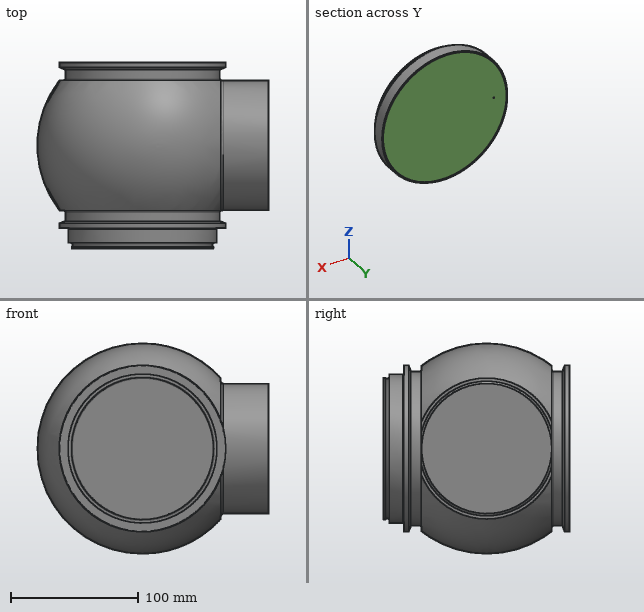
import cadquery as cq

sphere_radius = 82.5
side_flat = 51.1
port_flat = 61.3

collar_radius = 60.5
flange_radius = 65.3
flange_face = 65.0
flange_rim = 3.8
flange_bevel = 1.8
root_fillet = 1.0

plug_radius = 58.4
plug_end = 76.4
lip_neck_radius = 55.0
neck_fillet = 1.5
lip_radius = 55.7
lip_width = 1.6
lip_fillet = 0.5
front_end = 80.9
plug_relief_radius = 57.5
plug_relief_width = 0.7

port_radius = 51.0
overall_length = 181.4
port_end = overall_length - sphere_radius
port_root = 1.8


def front_disc(radius, start, end):
    """Cylinder on the Y axis between two distances in front of the centre."""
    return cq.Workplane("XZ", origin=(0, -start, 0)).circle(radius).extrude(end - start)


def make_body():
    """Sphere cut flat at the front, the back and the port side."""
    sphere = cq.Workplane("XY").sphere(sphere_radius)
    length = sphere_radius + port_flat
    keep = cq.Workplane("XY").box(length, 2 * side_flat, 2 * sphere_radius)
    return sphere.intersect(keep.translate(((port_flat - sphere_radius) / 2, 0, 0)))


def make_collar():
    """Front collar: filleted root, neck and bevelled flange, turned about Y."""
    rim_start = flange_face - flange_rim
    profile = (
        cq.Workplane("XY")
        .moveTo(0, 0)
        .lineTo(collar_radius + root_fillet, 0)
        .lineTo(collar_radius + root_fillet, -side_flat)
        .radiusArc((collar_radius, -side_flat - root_fillet), -root_fillet)
        .lineTo(collar_radius, flange_bevel - rim_start)
        .lineTo(flange_radius, -rim_start)
        .lineTo(flange_radius, -flange_face)
        .lineTo(0, -flange_face)
        .close()
    )
    return profile.revolve(360, (0, 0, 0), (0, 1, 0))


def make_plug():
    """Stepped plug with a relief at the flange and a rounded lip at its end."""
    relief_end = flange_face + plug_relief_width
    lip_start = front_end - lip_width
    relief = front_disc(plug_relief_radius, flange_face, relief_end)
    main = front_disc(plug_radius, relief_end, plug_end)
    neck = (
        cq.Workplane("XY")
        .moveTo(0, -plug_end)
        .lineTo(lip_neck_radius + neck_fillet, -plug_end)
        .radiusArc((lip_neck_radius, -plug_end - neck_fillet), -neck_fillet)
        .lineTo(lip_neck_radius, -lip_start)
        .lineTo(0, -lip_start)
        .close()
        .revolve(360, (0, 0, 0), (0, 1, 0))
    )
    lip = front_disc(lip_radius, lip_start, front_end).edges().fillet(lip_fillet)
    return relief.union(main).union(neck).union(lip)


def make_port():
    """Plain cylindrical port with a filleted root, turned about X."""
    profile = (
        cq.Workplane("XY")
        .moveTo(0, 0)
        .lineTo(port_flat, 0)
        .lineTo(port_flat, port_radius + port_root)
        .radiusArc((port_flat + port_root, port_radius), -port_root)
        .lineTo(port_end, port_radius)
        .lineTo(port_end, 0)
        .close()
    )
    port = profile.revolve(360, (0, 0, 0), (1, 0, 0))
    root_trim = cq.Workplane("XY").box(2 * port_end, 2 * side_flat, 2 * sphere_radius)
    return port.intersect(root_trim)


collar = make_collar()
result = make_body().union(collar).union(collar.mirror("XZ"))
result = result.union(make_plug()).union(make_port())